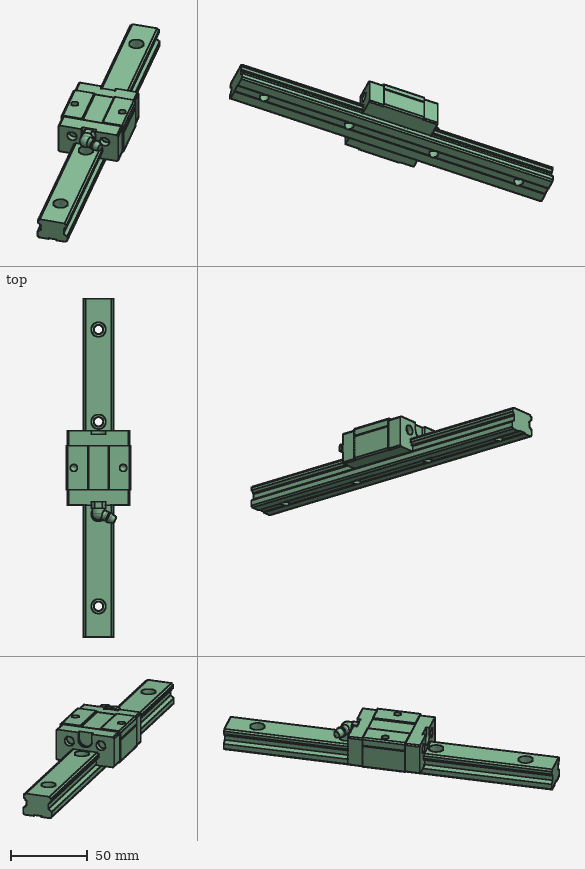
import cadquery as cq
import math

RAIL_LENGTH = 220.0
RAIL_HEIGHT = 15.0
RAIL_WIDTH = 20.0
RAIL_BASE_HALF = RAIL_WIDTH / 2
RAIL_NECK_HALF = 7.7
RAIL_HEAD_HALF = 9.7
RAIL_TOP_HALF = 8.4
BASE_CHAMFER = 1.0
BASE_SIDE_TOP = 4.6
NECK_BOTTOM = 6.4
NECK_TOP = 9.7
HEAD_SIDE_BOTTOM = 11.9
HEAD_SIDE_TOP = 13.9
LOWER_RACE_HALF = 8.4
LOWER_RACE_BOTTOM = 10.3
UPPER_RACE_SAG = 0.33
LOWER_RACE_SAG = 0.2
RELIEF_HALF = 2.6
RELIEF_DEPTH = 0.7

RAIL_HOLE_COUNT = 4
RAIL_HOLE_END_DISTANCE = 20.0
RAIL_HOLE_PITCH = (RAIL_LENGTH - 2 * RAIL_HOLE_END_DISTANCE) / (RAIL_HOLE_COUNT - 1)
RAIL_HOLE_DIA = 6.0
COUNTERBORE_DIA = 9.5
COUNTERBORE_DEPTH = 8.5

CARRIAGE_BOTTOM = 6.0
CARRIAGE_LENGTH = 48.5
BLOCK_WIDTH = 42.0
BLOCK_TOP = 28.0
BLOCK_LENGTH = 28.5
BLOCK_CHAMFER = 1.0
PLATE_WIDTH = 40.5
PLATE_TOP = 27.0
PLATE_CHAMFER = 0.9
PLATE_LENGTH = (CARRIAGE_LENGTH - BLOCK_LENGTH) / 2
SIDE_GROOVE_HEIGHT = 22.2
SIDE_GROOVE_HALF = 0.33
TOP_RECESS_HALF = 6.4
TOP_RECESS_DEPTH = 0.7

TAP_DIA = 4.6
TAP_DEPTH = 7.0
TAP_OFFSET = 16.0
DRILL_POINT_ANGLE = 118.0

SCREW_DIA = 6.4
SCREW_DEPTH = 4.0
SCREW_OFFSET = 11.0
SCREW_HEIGHT = 20.0
SEAT_RADIUS = 4.8
SEAT_DEPTH = 2.2

NIPPLE_HEIGHT = 22.2
HEX_ACROSS_CORNERS = 9.2
HEX_LENGTH = 4.2
COLLAR_RADIUS = 4.2
COLLAR_LENGTH = 3.3
ARM_ANGLE = 25.0
ARM_SETBACK = 0.5
ARM_ROOT_RADIUS = 3.7
ARM_ROOT_END = 4.6
ARM_NECK_RADIUS = 3.0
ARM_NECK_END = 6.2
ARM_GROOVE_RADIUS = 2.6
ARM_GROOVE_END = 7.0
ARM_HEAD_RADIUS = 3.3
ARM_HEAD_TAPER_START = 8.4
ARM_TIP_RADIUS = 2.2
ARM_LENGTH = 11.9


def rail_bar():
    """Rail section without holes, extruded over the full length.

    Concave ball races run above and below the side of the head.
    """
    lower_race_start = (LOWER_RACE_HALF, LOWER_RACE_BOTTOM)
    lower_race_end = (RAIL_HEAD_HALF, HEAD_SIDE_BOTTOM)
    upper_race_start = (RAIL_HEAD_HALF, HEAD_SIDE_TOP)
    upper_race_end = (RAIL_TOP_HALF, RAIL_HEIGHT)
    half = (
        cq.Workplane("XZ", origin=(0, RAIL_LENGTH / 2, 0))
        .moveTo(0, RELIEF_DEPTH)
        .lineTo(RELIEF_HALF, RELIEF_DEPTH)
        .lineTo(RELIEF_HALF, 0)
        .lineTo(RAIL_BASE_HALF - BASE_CHAMFER, 0)
        .lineTo(RAIL_BASE_HALF, BASE_CHAMFER)
        .lineTo(RAIL_BASE_HALF, BASE_SIDE_TOP)
        .lineTo(RAIL_NECK_HALF, NECK_BOTTOM)
        .lineTo(RAIL_NECK_HALF, NECK_TOP)
        .lineTo(*lower_race_start)
        .sagittaArc(lower_race_end, LOWER_RACE_SAG)
        .lineTo(*upper_race_start)
        .sagittaArc(upper_race_end, UPPER_RACE_SAG)
        .lineTo(0, RAIL_HEIGHT)
        .close()
        .extrude(RAIL_LENGTH)
    )
    return half.union(half.mirror("YZ")).clean()


def make_rail():
    """Rail bar with a row of counterbored holes along its top."""
    return (
        rail_bar()
        .faces(">Z")
        .workplane(origin=(0, 0, RAIL_HEIGHT))
        .rarray(2.2, RAIL_HOLE_PITCH, 1, RAIL_HOLE_COUNT)
        .cboreHole(RAIL_HOLE_DIA, COUNTERBORE_DIA, COUNTERBORE_DEPTH)
    )


def chamfered_bar(width, top, length, chamfer):
    """Bar along Y from the carriage bottom to the given top, with its long edges chamfered."""
    height = top - CARRIAGE_BOTTOM
    return (
        cq.Workplane("XY")
        .box(width, length, height)
        .edges("|Y")
        .chamfer(chamfer)
        .translate((0, 0, CARRIAGE_BOTTOM + height / 2))
    )


def top_recess():
    """Shallow channel with sloping sides along the top of the block."""
    wide = TOP_RECESS_HALF + TOP_RECESS_DEPTH
    floor = BLOCK_TOP - TOP_RECESS_DEPTH
    return (
        cq.Workplane("XZ", origin=(0, BLOCK_LENGTH / 2, 0))
        .moveTo(-wide, BLOCK_TOP)
        .lineTo(-TOP_RECESS_HALF, floor)
        .lineTo(TOP_RECESS_HALF, floor)
        .lineTo(wide, BLOCK_TOP)
        .close()
        .extrude(BLOCK_LENGTH)
    )


def side_groove(side):
    """V groove along one side of the block; side is -1 or 1."""
    face = side * BLOCK_WIDTH / 2
    return (
        cq.Workplane("XZ", origin=(0, BLOCK_LENGTH / 2, 0))
        .moveTo(face, SIDE_GROOVE_HEIGHT - SIDE_GROOVE_HALF)
        .lineTo(face, SIDE_GROOVE_HEIGHT + SIDE_GROOVE_HALF)
        .lineTo(face - side * SIDE_GROOVE_HALF, SIDE_GROOVE_HEIGHT)
        .close()
        .extrude(BLOCK_LENGTH)
    )


def tapped_hole(side):
    """Blind hole with a drill point, opening at the top of the block."""
    radius = TAP_DIA / 2
    point = radius / math.tan(math.radians(DRILL_POINT_ANGLE / 2))
    return (
        cq.Workplane("XZ")
        .polyline([(0, 0), (radius, 0), (radius, -TAP_DEPTH), (0, -TAP_DEPTH - point)])
        .close()
        .revolve(360, (0, 0), (0, 1))
        .translate((side * TAP_OFFSET, 0, BLOCK_TOP))
    )


def plate_cuts():
    """Screw recesses and U-shaped nipple seat of the end plate on the -Y side."""
    face = cq.Workplane("XZ", origin=(0, -CARRIAGE_LENGTH / 2, 0))
    screws = face.pushPoints([(-SCREW_OFFSET, SCREW_HEIGHT), (SCREW_OFFSET, SCREW_HEIGHT)])
    seat = (
        face.moveTo(-SEAT_RADIUS, PLATE_TOP)
        .lineTo(-SEAT_RADIUS, NIPPLE_HEIGHT)
        .threePointArc((0, NIPPLE_HEIGHT - SEAT_RADIUS), (SEAT_RADIUS, NIPPLE_HEIGHT))
        .lineTo(SEAT_RADIUS, PLATE_TOP)
        .close()
        .extrude(-SEAT_DEPTH)
    )
    return screws.circle(SCREW_DIA / 2).extrude(-SCREW_DEPTH).union(seat)


def make_carriage():
    """Block and two mirrored end plates as one body, with a channel that fits the rail."""
    block = chamfered_bar(BLOCK_WIDTH, BLOCK_TOP, BLOCK_LENGTH, BLOCK_CHAMFER).cut(top_recess())
    for side in (-1, 1):
        block = block.cut(side_groove(side)).cut(tapped_hole(side))

    plate = (
        chamfered_bar(PLATE_WIDTH, PLATE_TOP, PLATE_LENGTH, PLATE_CHAMFER)
        .translate((0, -(BLOCK_LENGTH + PLATE_LENGTH) / 2, 0))
        .cut(plate_cuts())
    )
    return block.union(plate).union(plate.mirror("XZ")).cut(rail_bar())


def make_nipple():
    """Grease nipple standing on the floor of the seat in the -Y end plate."""
    seat_y = -CARRIAGE_LENGTH / 2 + SEAT_DEPTH
    collar_y = seat_y - HEX_LENGTH
    elbow_y = collar_y - COLLAR_LENGTH
    hexagon = (
        cq.Workplane("XZ", origin=(0, seat_y, NIPPLE_HEIGHT))
        .polygon(6, HEX_ACROSS_CORNERS)
        .extrude(HEX_LENGTH)
    )
    collar = (
        cq.Workplane("XZ", origin=(0, collar_y, NIPPLE_HEIGHT))
        .circle(COLLAR_RADIUS)
        .extrude(COLLAR_LENGTH)
    )
    elbow = cq.Workplane("XY").sphere(COLLAR_RADIUS)
    arm = (
        cq.Workplane("XY")
        .lineTo(0, ARM_ROOT_RADIUS)
        .lineTo(ARM_ROOT_END, ARM_NECK_RADIUS)
        .lineTo(ARM_NECK_END, ARM_NECK_RADIUS)
        .lineTo(ARM_NECK_END, ARM_GROOVE_RADIUS)
        .lineTo(ARM_GROOVE_END, ARM_GROOVE_RADIUS)
        .lineTo(ARM_GROOVE_END, ARM_HEAD_RADIUS)
        .lineTo(ARM_HEAD_TAPER_START, ARM_HEAD_RADIUS)
        .lineTo(ARM_LENGTH, ARM_TIP_RADIUS)
        .lineTo(ARM_LENGTH, 0)
        .close()
        .revolve(360, (0, 0), (1, 0))
        .rotate((0, 0, 0), (0, 0, 1), -ARM_ANGLE)
        .translate((0, ARM_SETBACK, 0))
    )
    elbow_and_arm = elbow.union(arm).translate((0, elbow_y, NIPPLE_HEIGHT))
    return hexagon.union(collar).union(elbow_and_arm)


rail = make_rail()
carriage = make_carriage()
nipple = make_nipple()

result = cq.Compound.makeCompound([rail.solids().val(), carriage.solids().val(), nipple.solids().val()])